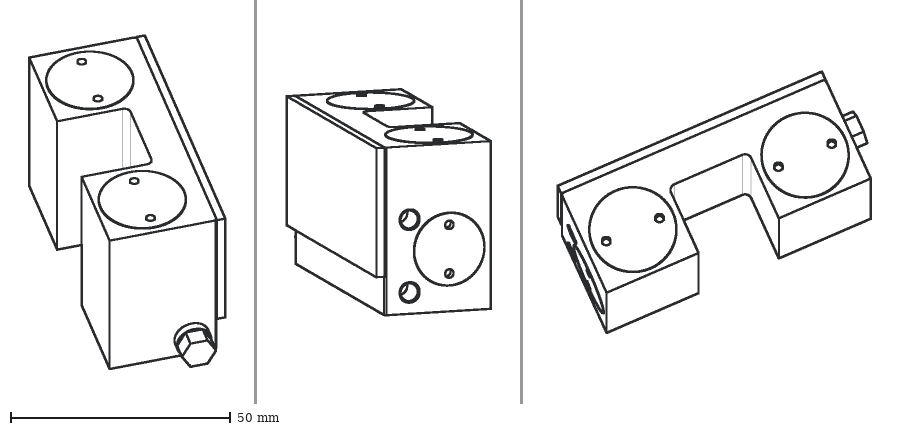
import cadquery as cq
import math

length = 66.0
height = 39.0
depth = 25.5
back_edge_chamfer = 0.4

slot_width = 20.0
slot_depth = 17.0
slot_fillet = 1.5

disc_rise = 0.1
rim_bevel = 0.1
top_disc_diameter = 20.0
top_disc_y = 11.1
leg_width = (length - slot_width) / 2
top_disc_xs = (leg_width / 2, length - leg_width / 2)
top_wrench_spacing = 13.3
side_disc_diameter = 17.0
side_disc_y = 10.0
side_disc_z = 14.5
side_wrench_spacing = 11.3

wrench_diameter = 2.0
wrench_depth = 2.0
drill_point_angle = 118.0

port_diameter = 4.13
port_mouth_diameter = 4.8
port_depth = 8.0
port_y = 19.5
port_zs = (5.0, 21.9)

plate_thickness = 2.0
plate_bottom_z = 9.0

collar_diameter = 8.2
collar_length = 2.0
hex_corner_diameter = 8.15
hex_length = 4.0
hex_sides = 6


def raised_disc(diameter):
    """Raised disc on Z = 0 whose rim tapers up to the top face."""
    radius = diameter / 2
    return cq.Workplane(cq.Solid.makeCone(radius, radius - rim_bevel, disc_rise))


def wrench_holes(spacing):
    """Cutters for the two drilled holes of a disc on Z = 0, spaced along X."""
    radius = wrench_diameter / 2
    point_depth = radius / math.tan(math.radians(drill_point_angle / 2))
    profile = [
        (0, disc_rise),
        (radius, disc_rise),
        (radius, -wrench_depth),
        (0, -wrench_depth - point_depth),
    ]
    drill = cq.Workplane("XZ").polyline(profile).close().revolve(360, (0, 0), (0, 1))
    first_drill = drill.translate((-spacing / 2, 0, 0))
    second_drill = drill.translate((spacing / 2, 0, 0))
    return first_drill.union(second_drill)


def turn_to_left_face(shape):
    """Turn a feature that points along +Z so that it points along -X."""
    return shape.rotate((0, 0, 0), (0, 1, 0), -90)


def port_cutter():
    """Cutter for one port that enters the X = 0 face, with a countersunk mouth."""
    radius = port_diameter / 2
    mouth_radius = port_mouth_diameter / 2
    origin = cq.Vector(0, 0, 0)
    inward = cq.Vector(1, 0, 0)
    bore = cq.Solid.makeCylinder(radius, port_depth, origin, inward)
    mouth = cq.Solid.makeCone(mouth_radius, radius, mouth_radius - radius, origin, inward)
    return cq.Workplane(bore).union(cq.Workplane(mouth))


def make_housing():
    """Build the U block with its slot, raised discs and ports."""
    block = cq.Workplane("XY").box(length, depth, height, centered=False)
    block = block.edges("|Z and >Y").chamfer(back_edge_chamfer)

    slot = (
        cq.Workplane("XY")
        .box(slot_width, slot_depth, height, centered=False)
        .edges("|Z and >Y")
        .fillet(slot_fillet)
        .translate((leg_width, 0, 0))
    )
    body = block.cut(slot)

    for x in top_disc_xs:
        place = (x, top_disc_y, height)
        body = body.union(raised_disc(top_disc_diameter).translate(place))
        body = body.cut(wrench_holes(top_wrench_spacing).translate(place))

    place = (0, side_disc_y, side_disc_z)
    body = body.union(turn_to_left_face(raised_disc(side_disc_diameter)).translate(place))
    body = body.cut(turn_to_left_face(wrench_holes(side_wrench_spacing)).translate(place))

    for z in port_zs:
        body = body.cut(port_cutter().translate((0, port_y, z)))
    return body


def make_back_plate():
    """Build the plate on the back face, level with the top of the housing."""
    plate = cq.Workplane("XY").box(length, plate_thickness, height - plate_bottom_z, centered=False)
    return plate.translate((0, depth, plate_bottom_z))


def make_screw_plug():
    """Build the round collar and hexagonal head, with two hexagon corners along Y."""
    return (
        cq.Workplane("YZ", origin=(length, port_y, port_zs[0]))
        .circle(collar_diameter / 2)
        .extrude(collar_length)
        .faces(">X")
        .workplane()
        .polygon(hex_sides, hex_corner_diameter)
        .extrude(hex_length)
    )


housing = make_housing()
back_plate = make_back_plate()
screw_plug = make_screw_plug()

result = cq.Compound.makeCompound([housing.val(), back_plate.val(), screw_plug.val()])